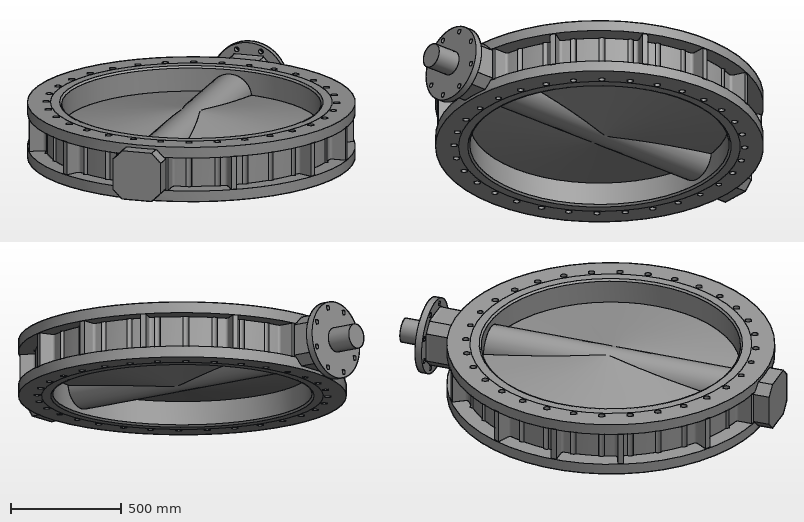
import cadquery as cq
import math


FLANGE_RADIUS = 743.0
HALF_HEIGHT = 128.0
FLANGE_THICKNESS = 50.0
WEB_HALF_HEIGHT = HALF_HEIGHT - FLANGE_THICKNESS
BARREL_RADIUS = 665.0

RIB_OUTER_REACH = 737.0
RIB_THICKNESS = 25.0
RIB_FILLET = 13.0
RIB_ANGLES = (-57, -24, 0, 24, 57)

BOLT_COUNT = 32
BOLT_PITCH = 360 / BOLT_COUNT
BOLT_CIRCLE_RADIUS = 658.0
BOLT_HOLE_RADIUS = 15.0
BLIND_HOLE_RADIUS = 13.0
BLIND_HOLE_DEPTH = 63.0
DRILL_TIP_DEPTH = BLIND_HOLE_RADIUS * math.tan(math.radians(30))

NECK_WIDTH = 228.0
NECK_FLAT_WIDTH = 141.0
NECK_CHAMFER = (NECK_WIDTH - NECK_FLAT_WIDTH) / 2
UPPER_NECK_END = 850.0
LOWER_NECK_END = -808.0
NECK_BLOCK_WIDTH = 245.0
NECK_BLOCK_REACH = 732.0
NECK_BLOCK_CHAMFER = 7.0
BEVEL_LENGTH = 13.0
BEVEL_HEIGHT = 4.0

LINER_OUTER_RADIUS = 638.0
BORE_RADIUS = 587.0
LINER_CHAMFER = 9.0

DISC_RIM_HALF_THICKNESS = 10.0
DISC_CENTRE_HALF_THICKNESS = 98.0
HUB_RADIUS = 101.0
HUB_HALF_LENGTH = 578.0

STEM_RADIUS = 56.0
STEM_TOP = 1000.0
STEM_BOTTOM = -723.0

MOUNT_RADIUS = 175.0
MOUNT_THICKNESS = 33.0
MOUNT_HOLE_COUNT = 8
MOUNT_HOLE_CIRCLE_RADIUS = 150.0
MOUNT_HOLE_RADIUS = 10.0


def disc_along_z(radius, z_low, z_high):
    """Solid cylinder on the Z axis."""
    return cq.Workplane("XY").workplane(offset=z_low).circle(radius).extrude(z_high - z_low)


def rod_along_y(radius, y_low, y_high):
    """Solid cylinder on the Y axis."""
    return cq.Workplane("XZ", origin=(0, y_low, 0)).circle(radius).extrude(y_low - y_high)


def make_ribbed_barrel():
    """Barrel between the flanges, with its ribs and the two neck blocks filleted on."""
    web_height = 2 * WEB_HALF_HEIGHT
    barrel = disc_along_z(BARREL_RADIUS, -WEB_HALF_HEIGHT, WEB_HALF_HEIGHT)
    for angle in RIB_ANGLES:
        rib_pair = cq.Workplane("XY").box(2 * RIB_OUTER_REACH, RIB_THICKNESS, web_height)
        barrel = barrel.union(rib_pair.rotate((0, 0, 0), (0, 0, 1), angle))
    neck_block = cq.Workplane("XY").box(NECK_BLOCK_WIDTH, 2 * NECK_BLOCK_REACH, web_height)
    barrel = barrel.union(neck_block.edges("|Z").chamfer(NECK_BLOCK_CHAMFER))

    def is_inner_corner(edge):
        centre = edge.Center()
        return abs(math.hypot(centre.x, centre.y) - BARREL_RADIUS) < RIB_FILLET

    return barrel.edges("|Z").filter(is_inner_corner).fillet(RIB_FILLET)


def make_necks():
    """Eight-sided bar along Y that forms both stem necks."""
    length = UPPER_NECK_END - LOWER_NECK_END
    middle = (UPPER_NECK_END + LOWER_NECK_END) / 2
    necks = cq.Workplane("XY").box(NECK_WIDTH, length, NECK_WIDTH).edges("|Y").chamfer(NECK_CHAMFER)
    return necks.translate((0, middle, 0))


def make_neck_bevel(turn):
    """Small wedge on one wide side of the upper neck, rising to the mounting flange."""
    side = NECK_WIDTH / 2
    wedge = (
        cq.Workplane("YZ")
        .moveTo(UPPER_NECK_END - BEVEL_LENGTH, side)
        .lineTo(UPPER_NECK_END, side + BEVEL_HEIGHT)
        .lineTo(UPPER_NECK_END, side)
        .close()
        .extrude(NECK_FLAT_WIDTH / 2, both=True)
    )
    return wedge.rotate((0, 0, 0), (0, 1, 0), turn)


def make_blind_hole():
    """Cutter for a blind bolt hole with a conical tip, placed on the Z axis and opening upwards."""
    tip_start = HALF_HEIGHT - BLIND_HOLE_DEPTH
    profile = (
        cq.Workplane("XZ")
        .moveTo(0, HALF_HEIGHT)
        .lineTo(BLIND_HOLE_RADIUS, HALF_HEIGHT)
        .lineTo(BLIND_HOLE_RADIUS, tip_start)
        .lineTo(0, tip_start - DRILL_TIP_DEPTH)
        .close()
    )
    return profile.revolve(360, (0, 0, 0), (0, 1, 0))


def cut_bolt_holes(body):
    """Cut the bolt circle: blind holes beside the necks, through holes elsewhere."""
    blind_hole = make_blind_hole()
    through_hole = disc_along_z(BOLT_HOLE_RADIUS, -HALF_HEIGHT, HALF_HEIGHT)
    for index in range(BOLT_COUNT):
        angle = math.radians((index + 0.5) * BOLT_PITCH)
        x = BOLT_CIRCLE_RADIUS * math.cos(angle)
        y = BOLT_CIRCLE_RADIUS * math.sin(angle)
        if abs(x) < NECK_WIDTH / 2:
            body = body.cut(blind_hole.translate((x, y, 0)))
            body = body.cut(blind_hole.mirror("XY").translate((x, y, 0)))
        else:
            body = body.cut(through_hole.translate((x, y, 0)))
    return body


def make_housing():
    body = make_ribbed_barrel()
    body = body.union(disc_along_z(FLANGE_RADIUS, WEB_HALF_HEIGHT, HALF_HEIGHT))
    body = body.union(disc_along_z(FLANGE_RADIUS, -HALF_HEIGHT, -WEB_HALF_HEIGHT))
    body = body.union(make_necks())
    for turn in (0, 90, 180, 270):
        body = body.union(make_neck_bevel(turn))
    body = body.cut(disc_along_z(LINER_OUTER_RADIUS, -HALF_HEIGHT, HALF_HEIGHT))
    body = body.cut(rod_along_y(STEM_RADIUS, STEM_BOTTOM, STEM_TOP))
    return cut_bolt_holes(body)


def make_liner():
    liner = disc_along_z(LINER_OUTER_RADIUS, -HALF_HEIGHT, HALF_HEIGHT)
    liner = liner.cut(disc_along_z(BORE_RADIUS, -HALF_HEIGHT, HALF_HEIGHT))
    liner = liner.edges(cq.selectors.RadiusNthSelector(0)).chamfer(LINER_CHAMFER)
    return liner.cut(rod_along_y(STEM_RADIUS, STEM_BOTTOM, STEM_TOP))


def make_disc():
    """Double cone closing the bore, with a cylindrical hub around the stem."""
    double_cone = (
        cq.Workplane("XZ")
        .moveTo(0, -DISC_CENTRE_HALF_THICKNESS)
        .lineTo(BORE_RADIUS, -DISC_RIM_HALF_THICKNESS)
        .lineTo(BORE_RADIUS, DISC_RIM_HALF_THICKNESS)
        .lineTo(0, DISC_CENTRE_HALF_THICKNESS)
        .close()
        .revolve(360, (0, 0, 0), (0, 1, 0))
    )
    disc = double_cone.union(rod_along_y(HUB_RADIUS, -HUB_HALF_LENGTH, HUB_HALF_LENGTH))
    return disc.cut(rod_along_y(STEM_RADIUS, STEM_BOTTOM, STEM_TOP))


def make_mounting_flange():
    mount_end = UPPER_NECK_END + MOUNT_THICKNESS
    plate = rod_along_y(MOUNT_RADIUS, UPPER_NECK_END, mount_end)
    hole = rod_along_y(MOUNT_HOLE_RADIUS, UPPER_NECK_END, mount_end)
    for index in range(MOUNT_HOLE_COUNT):
        angle = (index + 0.5) * 360 / MOUNT_HOLE_COUNT
        placed_hole = hole.translate((MOUNT_HOLE_CIRCLE_RADIUS, 0, 0)).rotate((0, 0, 0), (0, 1, 0), angle)
        plate = plate.cut(placed_hole)
    return plate.cut(rod_along_y(STEM_RADIUS, UPPER_NECK_END, mount_end))


housing = make_housing()
liner = make_liner()
disc = make_disc()
stem = rod_along_y(STEM_RADIUS, STEM_BOTTOM, STEM_TOP)
mounting_flange = make_mounting_flange()

result = cq.Compound.makeCompound(
    [body.solids().val() for body in (housing, liner, disc, stem, mounting_flange)]
)